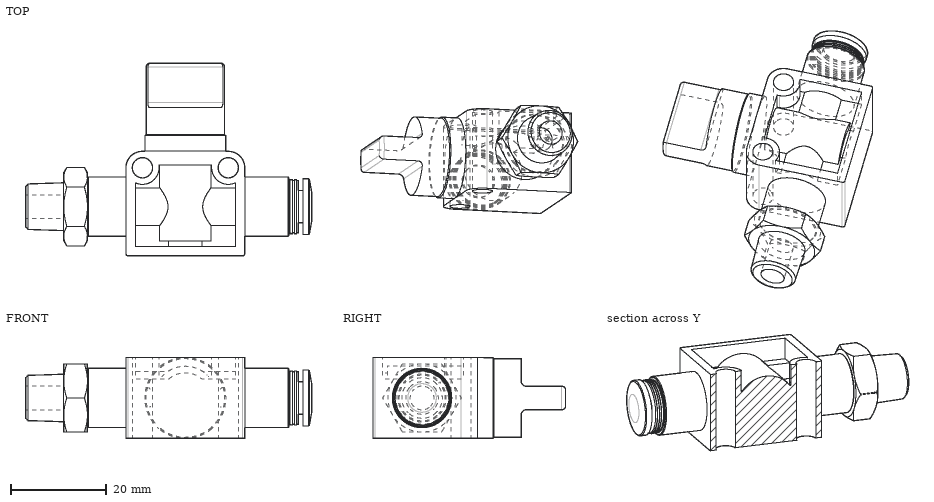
import cadquery as cq
import math


body_width = 25.0
body_height = 17.0
body_front = -10.35
body_back = 11.65
corner_radius = 3.5
front_edge_radius = 0.5
hole_diameter = 4.2
hole_x = body_width / 2 - corner_radius
hole_y = body_back - corner_radius

wall = 2.0
back_wall = 2.95
pocket_depth = 4.55
pocket_front = body_front + wall
pocket_back = body_back - back_wall
pocket_half_width = body_width / 2 - wall

stem_radius = 6.7
stem_front = -7.2
stem_tip_radius = 5.3
port_housing_radius = 5.6

thread_end_x = -33.55
nut_start_x = -25.55
nut_end_x = -20.55
sleeve_radius = 6.25
sleeve_end_x = 21.75
sleeve_chamfer = 0.2

thread_tip_radius = 4.8
thread_root_radius = 5.05
thread_chamfer = 0.55
bore_diameter = 5.0
bore_end_x = nut_start_x

nut_sides = 6
nut_across_flats = 14.3
nut_chamfer_angle = 30

collar_radius = 5.5
collar_end_x = 23.75
ridge_radius = 5.7
ridge_width = 0.5
ridge_starts_x = (22.0, 22.9)
neck_radius = 3.4
ring_start_x = 24.7
ring_rim_x = 25.9
ring_shoulder_x = 26.1
ring_end_x = 26.55
ring_radius = 5.9
ring_shoulder_radius = 5.65
ring_face_radius = 3.0

knob_base_radius = body_height / 2
knob_radius = 16.5 / 2
knob_base_y = 14.9
blade_root_y = 20.85
knob_end_y = 30.2
blade_thickness = 5.0
blade_root_fillet = 1.0
blade_end_fillet = 0.85


def cylinder_x(radius, start_x, end_x):
    return cq.Workplane("YZ", origin=(start_x, 0, 0)).circle(radius).extrude(end_x - start_x)


def cylinder_y(radius, start_y, end_y):
    return cq.Workplane("XZ", origin=(0, start_y, 0)).circle(radius).extrude(start_y - end_y)


def block(x_range, y_range, z_range):
    size = [high - low for low, high in (x_range, y_range, z_range)]
    low_corner = (x_range[0], y_range[0], z_range[0])
    return cq.Workplane("XY").box(*size, centered=False).translate(low_corner)


def revolve_about_x(profile):
    """Turn a list of (x, radius) points about the port axis."""
    return cq.Workplane("XY").polyline(profile).close().revolve(360, (0, 0, 0), (1, 0, 0))


def make_outer_body():
    body = block(
        (-body_width / 2, body_width / 2),
        (body_front, body_back),
        (-body_height / 2, body_height / 2),
    )
    body = body.edges("|Z and >Y").fillet(corner_radius)
    return body.edges("|Z and <Y").fillet(front_edge_radius)


def make_pocket():
    """Space removed from the top, leaving the screw bosses and round housings."""
    floor_z = body_height / 2 - pocket_depth
    pocket = block(
        (-pocket_half_width, pocket_half_width),
        (pocket_front, pocket_back),
        (floor_z, body_height / 2),
    )
    for side in (-1, 1):
        boss_x = side * hole_x
        boss = (
            cq.Workplane("XY", origin=(boss_x, hole_y, floor_z))
            .circle(corner_radius)
            .extrude(pocket_depth)
        )
        boss_sides_x = (boss_x - corner_radius, boss_x + corner_radius)
        boss_back = block(boss_sides_x, (hole_y, body_back), (floor_z, body_height / 2))
        pocket = pocket.cut(boss).cut(boss_back)

    stem = cylinder_y(stem_radius, stem_front, body_back)
    stem_tip = cylinder_y(stem_tip_radius, body_front, stem_front)
    ports = cylinder_x(port_housing_radius, -body_width / 2, body_width / 2)
    return pocket.cut(stem).cut(stem_tip).cut(ports)


def make_sleeve():
    sleeve = cylinder_x(sleeve_radius, nut_end_x, sleeve_end_x)
    return sleeve.faces("<X or >X").chamfer(sleeve_chamfer)


def make_thread():
    return revolve_about_x([
        (thread_end_x, 0),
        (thread_end_x, thread_tip_radius - thread_chamfer),
        (thread_end_x + thread_chamfer, thread_tip_radius),
        (nut_start_x, thread_root_radius),
        (nut_start_x, 0),
    ])


def make_nut():
    """Hexagon with corners on the Y axis, its corners bevelled at both ends."""
    flat_radius = nut_across_flats / 2
    nut_corner_radius = flat_radius / math.cos(math.pi / nut_sides)
    bevel = (nut_corner_radius - flat_radius) * math.tan(math.radians(nut_chamfer_angle))
    hexagon = (
        cq.Workplane("YZ", origin=(nut_start_x, 0, 0))
        .polygon(nut_sides, 2 * nut_corner_radius)
        .extrude(nut_end_x - nut_start_x)
    )
    bevel_limit = revolve_about_x([
        (nut_start_x, 0),
        (nut_start_x, flat_radius),
        (nut_start_x + bevel, nut_corner_radius),
        (nut_end_x - bevel, nut_corner_radius),
        (nut_end_x, flat_radius),
        (nut_end_x, 0),
    ])
    return hexagon.intersect(bevel_limit)


def make_push_in_end():
    end = cylinder_x(collar_radius, sleeve_end_x, collar_end_x)
    for ridge_x in ridge_starts_x:
        end = end.union(cylinder_x(ridge_radius, ridge_x, ridge_x + ridge_width))
    end = end.union(cylinder_x(neck_radius, collar_end_x, ring_start_x))
    release_ring = revolve_about_x([
        (ring_start_x, 0),
        (ring_start_x, ring_radius),
        (ring_rim_x, ring_radius),
        (ring_shoulder_x, ring_shoulder_radius),
        (ring_end_x, ring_face_radius),
        (ring_end_x, 0),
    ])
    return end.union(release_ring)


def make_knob():
    """Round knob with both sides cut away to leave a flat finger blade."""
    knob = cylinder_y(knob_radius, knob_base_y, knob_end_y)
    for side in (-1, 1):
        near_z = side * blade_thickness / 2
        far_z = side * body_height
        cutaway = block(
            (-body_width / 2, body_width / 2),
            (blade_root_y, knob_end_y),
            (min(near_z, far_z), max(near_z, far_z)),
        )
        inner_face = "<Z" if side > 0 else ">Z"
        cutaway = cutaway.faces(inner_face).edges("<Y").fillet(blade_root_fillet)
        knob = knob.cut(cutaway)
    knob = knob.faces(">Y").edges().fillet(blade_end_fillet)

    bevel = knob_base_radius - knob_radius
    base = cylinder_y(knob_base_radius, hole_y, knob_base_y + bevel)
    base = base.faces(">Y").chamfer(bevel)
    return knob.union(base)


body = make_outer_body()
outer_parts = (make_sleeve(), make_thread(), make_nut(), make_push_in_end(), make_knob())
for outer_part in outer_parts:
    body = body.union(outer_part)

hole_centers = [(-hole_x, hole_y), (hole_x, hole_y)]
screw_holes = (
    cq.Workplane("XY", origin=(0, 0, -body_height / 2))
    .pushPoints(hole_centers)
    .circle(hole_diameter / 2)
    .extrude(body_height)
)
thread_bore = cylinder_x(bore_diameter / 2, thread_end_x, bore_end_x)

result = body.cut(make_pocket()).cut(screw_holes).cut(thread_bore)